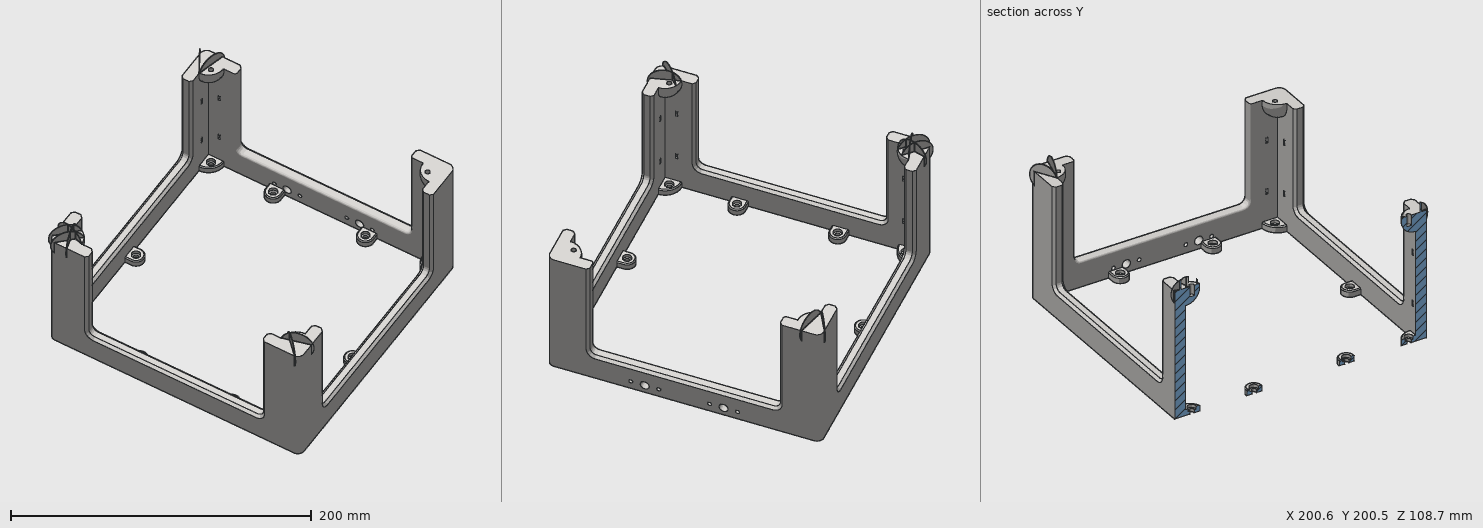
import cadquery as cq
import math

frame = 196.7
height = 100.0
wall = 8.6
outer_round = 5.0
half = frame / 2
inner_half = half - wall

post_width = 30.0
rail_height = 20.0
window_round = 5.0
bevel = 2.0
window_width = frame - 2 * post_width

ball_radius = 12.0
ball_z = height - 3.0
pin_hole_diameter = 3.5
pin_hole_depth = 8.0
pin_hole_inset = 5.0

fin_thickness = 0.5
fin_chords = {
    (-1, -1): [(60, 210), (30, 240), (0, 150), (-60, 90)],
    (1, -1): [(30, 180), (150, 300)],
    (-1, 1): [(150, 270), (60, 270)],
    (1, 1): [],
}

lug_radius = 6.0
corner_lug_radius = 12.0
lug_height = 5.0
lug_chamfer = 0.8
lug_reach = 5.0
lug_embed = wall / 2
lug_hole = 3.5
lug_bore = 6.2
lug_bore_depth = 2.5
lug_spread = 36.0
side_lug_y = -10.0

port_diameter = 6.5
port_screw_diameter = 2.8
port_screw_pitch = 10.0
port_spread = 28.3
port_z = 6.6

slot_width = 1.6
slot_length = 4.0
slot_depth = 4.0
slot_inset = 8.2
slot_heights = (27.7, 67.5)

QUARTER_TURNS = (0, 90, 180, 270)
BACK_TURN = 180


def spin(shape, angle):
    """Turn a shape about the Z axis."""
    return shape.rotate((0, 0, 0), (0, 0, 1), angle)


def outer_block():
    return cq.Workplane("XY").rect(frame, frame).extrude(height).edges("|Z").fillet(outer_round)


def front_window_edges(body, y):
    """Edges of the front wall's window that lie in the plane at the given y."""
    margin = 0.2
    reach = window_width / 2 + margin
    return body.edges(
        cq.selectors.BoxSelector(
            (-reach, y - margin, rail_height - margin), (reach, y + margin, height - margin)
        )
    )


def frame_body():
    cavity = cq.Workplane("XY").rect(2 * inner_half, 2 * inner_half).extrude(height)
    opening = (
        cq.Workplane("XZ")
        .rect(window_width, 2 * (height - rail_height))
        .extrude(frame, both=True)
        .edges("|Y")
        .fillet(window_round)
        .translate((0, 0, height))
    )
    body = outer_block().cut(cavity).cut(opening).cut(spin(opening, 90))
    for turn in QUARTER_TURNS:
        body = spin(body, -turn)
        body = front_window_edges(body, -half).chamfer(bevel)
        inner_rim = front_window_edges(body, -inner_half)
        body = inner_rim.fillet(bevel) if turn == BACK_TURN else inner_rim.chamfer(bevel)
        body = spin(body, turn)
    return body


def fin_slab(start, end):
    """Upright slab along a chord of a ball centred on the origin."""
    bearing = (start + end) / 2
    offset = ball_radius * math.cos(math.radians((end - start) / 2))
    slab = cq.Workplane("XY").box(fin_thickness, 2 * ball_radius, 2 * ball_radius)
    return spin(slab.translate((offset, 0, 0)), bearing)


def corner_ball(side_x, side_y):
    """Ball cut off at the faces of the frame, except where fins carry it on."""
    center = (side_x * inner_half, side_y * inner_half, ball_z)
    limits = outer_block()
    for start, end in fin_chords[(side_x, side_y)]:
        limits = limits.union(fin_slab(start, end).translate(center))
    return cq.Workplane("XY").sphere(ball_radius).translate(center).intersect(limits)


def pin_hole(side_x, side_y):
    place = inner_half - pin_hole_inset
    top = cq.Workplane("XY", origin=(side_x * place, side_y * place, height))
    return top.circle(pin_hole_diameter / 2).extrude(-pin_hole_depth)


def finished_lug(outline, x, y):
    """Lug raised from its outline, bevelled on top and bored for a screw at (x, y)."""
    return (
        outline.close()
        .extrude(lug_height)
        .faces(">Z")
        .edges()
        .chamfer(lug_chamfer)
        .faces(">Z")
        .workplane(origin=(x, y, 0))
        .cboreHole(lug_hole, lug_bore, lug_bore_depth)
    )


def front_lug(x):
    """Round-ended lug on the inside of the front wall."""
    y = -inner_half + lug_reach
    root_y = -lug_reach - lug_embed
    outline = (
        cq.Workplane("XY", origin=(x, y, 0))
        .moveTo(-lug_radius, root_y)
        .lineTo(-lug_radius, 0)
        .threePointArc((0, lug_radius), (lug_radius, 0))
        .lineTo(lug_radius, root_y)
    )
    return finished_lug(outline, x, y)


def front_left_lug():
    """Quarter-round lug in the inner corner between the front and left walls."""
    outline = (
        cq.Workplane("XY", origin=(-inner_half, -inner_half, 0))
        .moveTo(-lug_embed, -lug_embed)
        .lineTo(-lug_embed, corner_lug_radius)
        .lineTo(0, corner_lug_radius)
        .radiusArc((corner_lug_radius, 0), corner_lug_radius)
        .lineTo(corner_lug_radius, -lug_embed)
    )
    hole_place = -inner_half + lug_reach
    return finished_lug(outline, hole_place, hole_place)


def back_wall_hole(x, diameter):
    face = cq.Workplane("XZ", origin=(x, inner_half, port_z))
    return face.circle(diameter / 2).extrude(-wall)


def back_post_slot(x, z):
    slot = cq.Workplane("XY").box(slot_width, 2 * slot_depth, slot_length)
    return slot.translate((x, inner_half, z))


body = frame_body()

for side_x in (-1, 1):
    for side_y in (-1, 1):
        body = body.union(corner_ball(side_x, side_y))
        body = body.cut(pin_hole(side_x, side_y))

for x in (-lug_spread, lug_spread):
    for turn in (0, BACK_TURN):
        body = body.union(spin(front_lug(x), turn))
body = body.union(spin(front_lug(side_lug_y), 90))
body = body.union(spin(front_lug(-side_lug_y), 270))
for turn in QUARTER_TURNS:
    body = body.union(spin(front_left_lug(), turn))

for x in (-port_spread, port_spread):
    body = body.cut(back_wall_hole(x, port_diameter))
    for shift in (-port_screw_pitch, port_screw_pitch):
        body = body.cut(back_wall_hole(x + shift, port_screw_diameter))

slot_x = inner_half - slot_inset
for turn in QUARTER_TURNS:
    for x in (-slot_x, slot_x):
        for z in slot_heights:
            body = body.cut(spin(back_post_slot(x, z), turn))

result = body